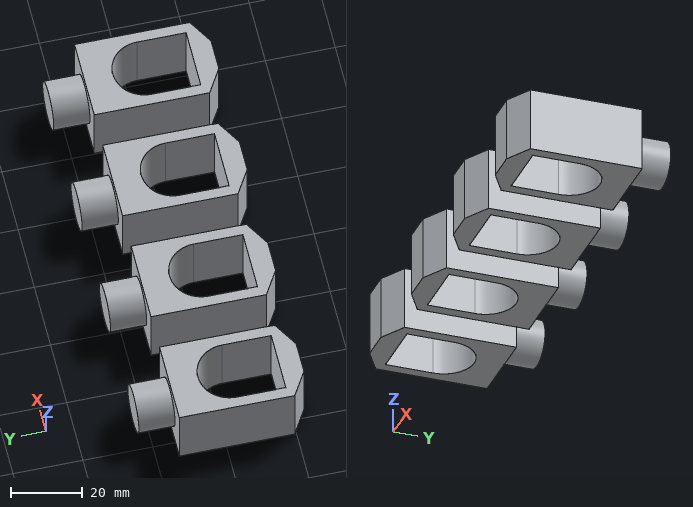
import cadquery as cq

clamp_count = 4
row_length = 129.5
clamp_width = 24.5
pitch = (row_length - clamp_width) / (clamp_count - 1)

block_length = 37.4
block_height = 19.0
corner_cut_x = 7.5
corner_cut_y = 4.4

window_width = 18.0
window_length = 23.0
front_wall = 6.2

stud_diameter = 14.0
stud_length = 10.4


def make_block():
    """Block standing on Z = 0, centred on X, with its front face at Y = 0."""
    half_width = clamp_width / 2
    front_half_width = half_width - corner_cut_x
    return (
        cq.Workplane("XY")
        .moveTo(-front_half_width, 0)
        .lineTo(front_half_width, 0)
        .lineTo(half_width, corner_cut_y)
        .lineTo(half_width, block_length)
        .lineTo(-half_width, block_length)
        .lineTo(-half_width, corner_cut_y)
        .close()
        .extrude(block_height)
    )


def make_window():
    """Cutter for the window: square at the front, a half circle at the back."""
    radius = window_width / 2
    window_end = front_wall + window_length
    arch_start = window_end - radius
    return (
        cq.Workplane("XY")
        .moveTo(-radius, front_wall)
        .lineTo(radius, front_wall)
        .lineTo(radius, arch_start)
        .threePointArc((0, window_end), (-radius, arch_start))
        .close()
        .extrude(block_height)
    )


def make_stud():
    """Stud pointing along +Y from the middle of the back face."""
    return (
        cq.Workplane("XZ", origin=(0, block_length, block_height / 2))
        .circle(stud_diameter / 2)
        .extrude(-stud_length)
    )


def make_clamp(center_x):
    """One clamp: block, window and stud as a single solid."""
    clamp = make_block().cut(make_window()).union(make_stud())
    return clamp.translate((center_x, 0, 0))


first_center = -(row_length - clamp_width) / 2
clamps = [make_clamp(first_center + i * pitch) for i in range(clamp_count)]

result = cq.Compound.makeCompound([clamp.val() for clamp in clamps])